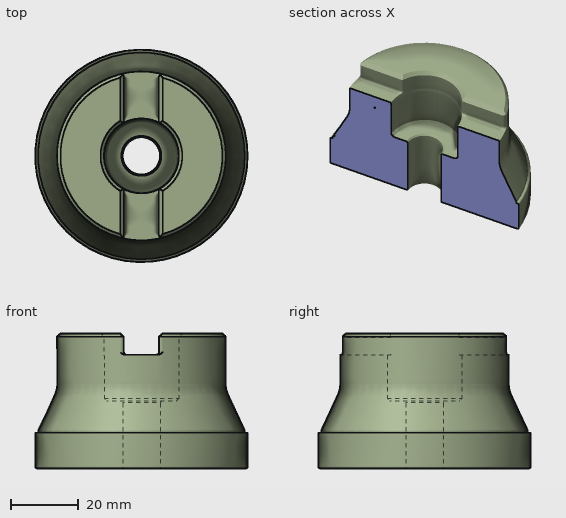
import cadquery as cq
import math

height = 40.0
flange_radius = 31.45
flange_height = 10.6
flange_top_round = 0.5
flange_bottom_round = 0.6
skirt_radius = 30.55
neck_radius = 24.95
cone_angle = math.radians(25)
neck_blend_top = 24.95
neck_blend_radius = 7.85
skirt_blend_radius = 2.0

edge_break = 1.0
slot_edge_break = 1.15

upper_bore_radius = 22.2 / 2
lower_bore_radius = 11.0
lead_in_depth = 1.0
floor_bevel = 0.8
floor_blend_radius = 0.4
bore_floor = 20.0
through_radius = 11.0 / 2
through_chamfer = 0.45

slot_width = 10.3
slot_depth = 6.35
slot_floor = height - slot_depth
slot_floor_round = 0.75
outer_corner_round = 0.9
inner_corner_round = 0.75


def blend_point(center, radius, angle):
    """Point on a blend arc at the given direction from its center."""
    return (center[0] + radius * math.cos(angle), center[1] + radius * math.sin(angle))


def make_body():
    """Revolve the outline: flange, cone with tangent blends, and neck."""
    neck_center = (neck_radius + neck_blend_radius, neck_blend_top)
    neck_middle = blend_point(neck_center, neck_blend_radius, math.pi + cone_angle / 2)
    cone_top = blend_point(neck_center, neck_blend_radius, math.pi + cone_angle)

    skirt_center_r = skirt_radius - skirt_blend_radius
    cone_foot_r = skirt_center_r + skirt_blend_radius * math.cos(cone_angle)
    cone_foot_z = cone_top[1] - (cone_foot_r - cone_top[0]) / math.tan(cone_angle)
    skirt_center = (skirt_center_r, cone_foot_z - skirt_blend_radius * math.sin(cone_angle))
    skirt_middle = blend_point(skirt_center, skirt_blend_radius, cone_angle / 2)

    body = (
        cq.Workplane("XZ")
        .lineTo(flange_radius, 0)
        .lineTo(flange_radius, flange_height)
        .lineTo(skirt_radius, flange_height)
        .lineTo(skirt_radius, skirt_center[1])
        .threePointArc(skirt_middle, (cone_foot_r, cone_foot_z))
        .lineTo(*cone_top)
        .threePointArc(neck_middle, (neck_radius, neck_blend_top))
        .lineTo(neck_radius, height)
        .lineTo(0, height)
        .close()
        .revolve(360, (0, 0), (0, 1))
    )
    largest_circle = cq.selectors.RadiusNthSelector(-1)
    body = body.faces("<Z").edges().fillet(flange_bottom_round)
    return body.edges("%CIRCLE").edges(largest_circle).edges(">Z").fillet(flange_top_round)


def bore(radius, bottom, top):
    """Vertical cylinder on the center axis."""
    return cq.Workplane("XY").workplane(offset=bottom).circle(radius).extrude(top - bottom)


def countersink(small_radius, large_radius, top):
    """45 degree conical cutter whose wide end lies at the given height."""
    depth = large_radius - small_radius
    narrow_end = cq.Vector(0, 0, top - depth)
    return cq.Workplane(cq.Solid.makeCone(small_radius, large_radius, depth, narrow_end))


def cut_bores(body):
    """Cut the stepped center: tapered lead-in, bore with a beveled floor corner, through hole."""
    corner_radius = lower_bore_radius - floor_bevel
    pocket = (
        cq.Workplane("XZ")
        .moveTo(0, bore_floor)
        .lineTo(corner_radius, bore_floor)
        .lineTo(lower_bore_radius, bore_floor + floor_bevel)
        .lineTo(lower_bore_radius, slot_floor - lead_in_depth)
        .lineTo(upper_bore_radius, slot_floor)
        .lineTo(0, slot_floor)
        .close()
        .revolve(360, (0, 0), (0, 1))
    )
    pocket = pocket.faces("<Z").edges().fillet(floor_blend_radius)
    body = body.cut(pocket)
    body = body.cut(bore(through_radius, 0, bore_floor))
    return body.cut(countersink(through_radius, through_radius + through_chamfer, bore_floor))


def make_pads():
    """Two ring sectors beside the slot, with rounded corners and a concave foot along the slot."""
    wall_x = slot_width / 2
    inner_y = math.sqrt(upper_bore_radius**2 - wall_x**2)
    outer_y = math.sqrt(neck_radius**2 - wall_x**2)
    inner_corners = cq.selectors.BoxSelector(
        (0, -upper_bore_radius, 0), (neck_radius, upper_bore_radius, height)
    )
    outer_corners = cq.selectors.StringSyntaxSelector("|Z") - inner_corners
    pad = (
        cq.Workplane("XY")
        .workplane(offset=slot_floor)
        .moveTo(wall_x, inner_y)
        .lineTo(wall_x, outer_y)
        .threePointArc((neck_radius, 0), (wall_x, -outer_y))
        .lineTo(wall_x, -inner_y)
        .threePointArc((upper_bore_radius, 0), (wall_x, inner_y))
        .close()
        .extrude(slot_depth)
    )
    pad = pad.edges(outer_corners).fillet(outer_corner_round)
    pad = pad.edges("|Z").edges(inner_corners).fillet(inner_corner_round)

    plate = bore(flange_radius, slot_floor - slot_depth, slot_floor)
    pick_margin = 0.05
    foot = cq.selectors.BoxSelector(
        (0, -neck_radius, slot_floor - pick_margin),
        (flange_radius, neck_radius, slot_floor + pick_margin),
    )
    pad = pad.union(plate).edges(foot).fillet(slot_floor_round)
    neck_ring = bore(neck_radius, slot_floor, height).cut(bore(upper_bore_radius, slot_floor, height))
    pad = pad.intersect(neck_ring)
    return pad.union(pad.mirror("YZ"))


def bevel_top(body):
    """Bevel the top edges of the neck, the bore and both slot walls."""
    rim = bore(flange_radius, height - edge_break, height)
    cone = cq.Solid.makeCone(
        neck_radius, neck_radius - edge_break, edge_break, cq.Vector(0, 0, height - edge_break)
    )
    body = body.cut(rim.cut(cq.Workplane(cone)))
    body = body.cut(countersink(upper_bore_radius, upper_bore_radius + edge_break, height))
    half_width = slot_width / 2
    slot_bevel = (
        cq.Workplane("XZ")
        .polyline([
            (-half_width, height - slot_edge_break),
            (half_width, height - slot_edge_break),
            (half_width + slot_edge_break, height),
            (-half_width - slot_edge_break, height),
        ])
        .close()
        .extrude(flange_radius, both=True)
    )
    return body.cut(slot_bevel)


slot_void = bore(neck_radius, slot_floor, height).cut(make_pads())
result = bevel_top(cut_bores(make_body().cut(slot_void)))